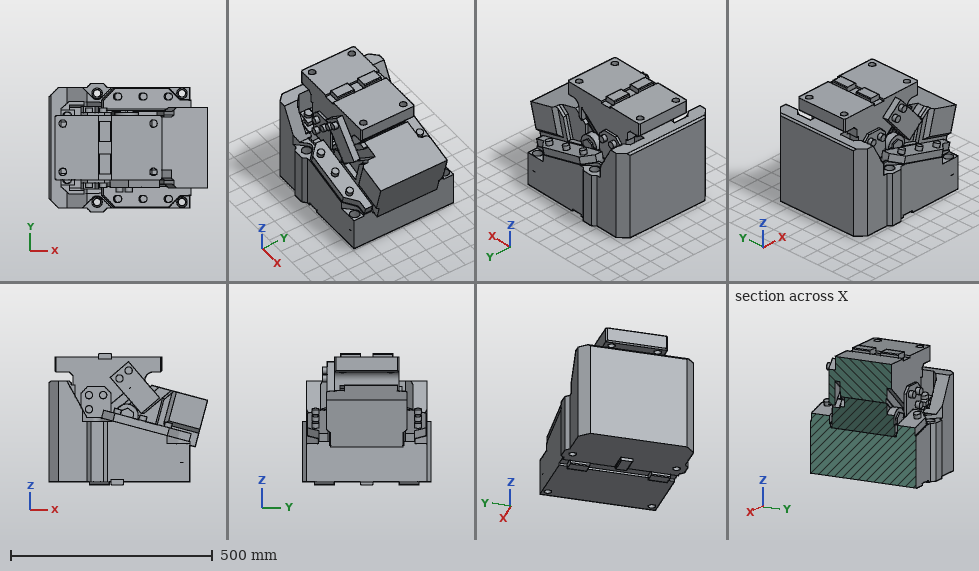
import cadquery as cq
import math

SLIDE_ANGLE = 15.0
WEDGE_ANGLE = 40.0

OVERALL_LENGTH = 394.5
BASE_LENGTH = 350.0
BASE_HALF_WIDTH = 150.0
BASE_HEIGHT = 250.0
BASE_CORNER = 24.5
BASE_TOP_CHAMFER = 5.0
WALL_TOP_END = 45.0
SHELF_START = 94.5
SHELF_HEIGHT = 159.8
SLIDE_X = 131.0
SLIDE_Z = 158.2

EAR_WIDTH = 320.0
EAR_HEIGHT = 150.0
EAR_ROOT = (94.5, 145.0)
EAR_TIP = (104.5, 135.5)
REAR_BOLT_X = 120.0
FRONT_BOLT_X = 330.5
FRONT_SEAT_HEIGHT = 94.5
BASE_BOLT_Y = 135.0
BASE_BOLT_DIAMETER = 18.0
BOLT_BORE_DIAMETER = 26.0
BOLT_BORE_DEPTH = 47.5
SEAT_RADIUS = 15.5

CHANNEL_DEPTH = 9.0
CHANNEL_HALF_WIDTH = 92.5
CHANNEL_HEAD_HALF = 100.0
NOTCH_BACK = 30.0
NOTCH_END = 87.5
NOTCH_FLARE_END = 51.0
NOTCH_BACK_HALF = 96.3
NOTCH_HALF = 115.2
NOTCH_BEVEL = 6.5
CHANNEL_START = 51.3
PIT_MOUTH = (80.0, 124.3)
PIT_BED = (86.0, 114.5)
PIT_FLOOR = 134.0
PIT_HALF_WIDTH = 102.0
PIT_BEVEL = 11.0
GUIDE_HALF_WIDTH = 51.3
GUIDE_BLOCK_END = 56.0
GUIDE_FACE = 65.0
GUIDE_TOP = 240.3
PAD_END = 64.5
PAD_OUTER = 93.0
PAD_INNER = 64.5
PAD_LEVEL = 1.5
PAD_BOLT = (43.8, 79.0)
PAD_BOLT_DIAMETER = 19.7
PAD_BOLT_HEIGHT = 10.3

PLATE_THICKNESS = 20.0
PLATE_INNER = 96.0
PLATE_OUTER = 147.0
PLATE_LENGTH = 225.0
PLATE_CORNER = 29.0
PLATE_NOTCH_CORNER = 198.0
PLATE_NOTCH_ROUND = 9.5
PLATE_NOTCH_Y = 118.0
PLATE_BOLT_FIRST = 34.5
PLATE_BOLT_PITCH = 65.0
PLATE_BOLT_Y = 127.0
PLATE_BOLT_COUNT = 3

BOLT_HEAD_DIAMETER = 18.0
BOLT_HEAD_HEIGHT = 12.0

FOOT_KEY_DROP = 8.3
TOP_KEY_RISE = 8.5
KEY_CHAMFER = 2.5
KEY_LENGTH = 49.7
KEY_SLOT = 5.5
FOOT_KEY_WIDTH = 31.5
FOOT_KEY_X = 170.0
FOOT_KEY_Y = 105.0
CROSS_KEY_X = 125.5
TOP_KEY_WIDTH = 32.7
TOP_KEY_X = 139.5
TOP_KEY_Y = 40.2

DRIVER_HALF_WIDTH = 80.0
DRIVER_TOP = 310.0
FLANGE_BOTTOM = 272.2
FLANGE_ENDS = (15.0, 281.0)
FLANGE_CHAMFER = 3.5
NECK_BACK = 59.5
NECK_CHAMFER = 9.0
NECK_FRONT = 238.5
NECK_ARC_START = 259.5
DRIVER_BOTTOM = 171.5
DRIVER_WEDGE = (154.5, 193.5)
WEDGE_END = 229.0
WEAR_PLATE_HALF_WIDTHS = (67.0, 65.0)
WEAR_PLATE_DEPTH = 20.0
FLANGE_HOLES_X = (34.7, 260.0)
FLANGE_HOLE_Y = 60.0
FLANGE_HOLE_DIAMETER = 18.5

CHEEK_ENDS = (80.0, 154.5)
CHEEK_BOTTOM = 154.0
CHEEK_TOP = 236.0
CHEEK_CORNER = 16.0
CHEEK_THICKNESS = 7.0
CHEEK_BOLTS = [(100.0, 215.0), (135.0, 215.0), (100.0, 180.0)]

RETURN_TIP = (229.5, 169.3)
RETURN_TILT = 40.7
RETURN_WIDTH = 60.0
RETURN_LENGTH = 118.5
RETURN_THICKNESS = 18.0
RETURN_BOLT_INSET = 15.8
RETURN_BOLT_PITCH = 30.0
RETURN_BOLT_DROP = 17.0
HOOK_END = 270.5
HOOK_OUTER = -66.5
HOOK_GAP = 25.5

SLIDER_BACK = 29.5
SLIDER_TOP = 111.0
SLIDER_CORNER = (255.5, 239.5)
SLIDER_CORE_HALF = 75.7
SLIDER_WAIST_HALF = 90.0
SLIDER_HEAD_HALF = 100.2
RAIL_TOP = 19.0
HEAD_UNDERSIDE = 26.0
SHOULDER_START = 133.5
SHOULDER_CHAMFER = 4.5
HEAD_START = 152.5
RETURN_FACE = (236.0, 169.3)
RETURN_NOTCH_Y = -55.0
SHOULDER_DROP = 5.5
BOSS_CENTER = (193.5, 164.0)
BOSS_DIAMETER = 57.5
BOSS_ROOT = 67.0
BOSS_RECESS_END = 218.5
BOSS_FACE = 87.5
HEX_FACE = 92.5
HEX_DIAMETER = 38.0
HEX_TURN = 38.0

FAR = 236.7

SIN, COS = math.sin(math.radians(SLIDE_ANGLE)), math.cos(math.radians(SLIDE_ANGLE))
WEDGE_SLOPE = math.tan(math.radians(WEDGE_ANGLE))
WEDGE_RISE = 1 / math.cos(math.radians(WEDGE_ANGLE))
EAR_HALF_WIDTH = EAR_WIDTH / 2
HEAD_CHAMFER = SLIDER_HEAD_HALF - SLIDER_WAIST_HALF
SLIDER_END = (OVERALL_LENGTH - SLIDE_X - SLIDER_TOP * SIN) / COS
SIDES = (-1, 1)


def along_y(points, y_min, y_max):
    """Prism with an XZ outline, filling y_min to y_max."""
    return cq.Workplane("XZ", origin=(0, y_max, 0)).polyline(points).close().extrude(y_max - y_min)


def box(x_range, y_range, z_range):
    """Box given by its three coordinate ranges."""
    size = [high - low for low, high in (x_range, y_range, z_range)]
    return cq.Workplane("XY").box(*size, centered=False).translate((x_range[0], y_range[0], z_range[0]))


def slide_plane(level=0.0):
    """Plane parallel to the slide way: local x runs downhill, local y is global Y."""
    origin = (SLIDE_X + level * SIN, 0, SLIDE_Z + level * COS)
    return cq.Workplane(cq.Plane(origin=origin, xDir=(COS, 0, -SIN), normal=(SIN, 0, COS)))


def slide_section(points, start, end):
    """Prism along the slide way with a section of (y, height above the way) points."""
    origin = (SLIDE_X + start * COS, 0, SLIDE_Z - start * SIN)
    plane = cq.Plane(origin=origin, xDir=(0, 1, 0), normal=(COS, 0, -SIN))
    return cq.Workplane(plane).polyline(points).close().extrude(end - start)


def slide_height(x, level=0.0):
    """Z of the plane lying the given distance above the slide way."""
    return SLIDE_Z - (x - SLIDE_X) * SIN / COS + level / COS


def wedge_height(point, x):
    """Z at x of the wedge face through an XZ point."""
    return point[1] + (x - point[0]) * WEDGE_SLOPE


def wedge_x(point, z):
    """X at height z of the wedge face through an XZ point."""
    return point[0] + (z - point[1]) / WEDGE_SLOPE


def side_cylinder(center, diameter, y_from, y_to):
    """Cylinder along Y at an XZ center."""
    low, high = sorted((y_from, y_to))
    return cq.Workplane("XZ", origin=(0, high, 0)).center(*center).circle(diameter / 2).extrude(high - low)


def slab(half_width, y_side=0):
    """Y range of a symmetric slab, or the band outside it on one side."""
    if y_side == 0:
        return -half_width, half_width
    return tuple(sorted((y_side * half_width, y_side * FAR)))


def base_block():
    profile = [
        (0, 0), (BASE_LENGTH, 0), (BASE_LENGTH, slide_height(BASE_LENGTH)),
        (SLIDE_X - (SHELF_HEIGHT - SLIDE_Z) * COS / SIN, SHELF_HEIGHT), (SHELF_START, SHELF_HEIGHT),
        (WALL_TOP_END, BASE_HEIGHT), (0, BASE_HEIGHT),
    ]
    block = along_y(profile, -BASE_HALF_WIDTH, BASE_HALF_WIDTH)
    block = block.edges("|Z and <X").chamfer(BASE_CORNER)
    block = block.faces("<X").edges(">Z").chamfer(BASE_TOP_CHAMFER)
    ear = [
        (EAR_ROOT[0], 0), (EAR_ROOT[0], BASE_HALF_WIDTH), (EAR_TIP[0], EAR_HALF_WIDTH),
        (EAR_TIP[1], EAR_HALF_WIDTH), (EAR_ROOT[1], BASE_HALF_WIDTH), (EAR_ROOT[1], 0),
    ]
    outer_ear = cq.Workplane("XY").polyline(ear).close().extrude(EAR_HEIGHT)
    return block.union(outer_ear).union(outer_ear.mirror("XZ"))


def bolt_seat(bolt_x, seat_height, open_forward):
    """Clearance above a base bolt: a 45 degree wedge rounded around the bolt axis."""
    reach = EAR_HALF_WIDTH - BASE_BOLT_Y
    tangent = SEAT_RADIUS / math.sqrt(2)
    spread = SEAT_RADIUS * math.sqrt(2) + reach
    seat = cq.Workplane("XY", origin=(bolt_x, BASE_BOLT_Y, seat_height)).moveTo(-spread, reach)
    seat = seat.lineTo(-tangent, -tangent)
    if open_forward:
        arc_half_angle = math.radians(45) / 2
        middle = (-SEAT_RADIUS * math.sin(arc_half_angle), -SEAT_RADIUS * math.cos(arc_half_angle))
        seat = seat.threePointArc(middle, (0, -SEAT_RADIUS)).lineTo(FAR, -SEAT_RADIUS).lineTo(FAR, reach)
    else:
        seat = seat.threePointArc((0, -SEAT_RADIUS), (tangent, -tangent)).lineTo(spread, reach)
    return seat.close().extrude(FAR)


def cut_base_bolts(base):
    seats = [(REAR_BOLT_X, EAR_HEIGHT, False), (FRONT_BOLT_X, FRONT_SEAT_HEIGHT, True)]
    for bolt_x, height, is_front in seats:
        seat = bolt_seat(bolt_x, height, is_front)
        base = base.cut(seat).cut(seat.mirror("XZ"))
        bores = cq.Workplane("XY", origin=(bolt_x, 0, height)).pushPoints(
            [(0, BASE_BOLT_Y), (0, -BASE_BOLT_Y)])
        base = base.cut(bores.circle(BASE_BOLT_DIAMETER / 2).extrude(-FAR))
        base = base.cut(bores.circle(BOLT_BORE_DIAMETER / 2).extrude(-BOLT_BORE_DEPTH))
    return base


def channel_prism(half_width):
    """Everything above the channel floor within a half width."""
    section = [
        (-half_width, -CHANNEL_DEPTH), (half_width, -CHANNEL_DEPTH), (half_width, FAR), (-half_width, FAR),
    ]
    return slide_section(section, -FAR, FAR * 2)


def cut_slide_way(base):
    """Sunk channel of the slider and the flared notch behind it."""
    plan = [
        (NOTCH_BACK, -NOTCH_BACK_HALF), (NOTCH_FLARE_END, -NOTCH_HALF), (NOTCH_END, -NOTCH_HALF),
        (NOTCH_END, NOTCH_HALF), (NOTCH_FLARE_END, NOTCH_HALF), (NOTCH_BACK, NOTCH_BACK_HALF),
    ]
    notch = cq.Workplane("XY").polyline(plan).close().extrude(FAR * 2)
    above_way = [(0, slide_height(0)), (FAR, slide_height(FAR)), (FAR, FAR * 2), (0, FAR * 2)]
    upper_notch = notch.intersect(along_y(above_way, -FAR, FAR))
    bevel_section = [
        (-CHANNEL_HEAD_HALF, -CHANNEL_DEPTH), (CHANNEL_HEAD_HALF, -CHANNEL_DEPTH),
        (CHANNEL_HEAD_HALF + NOTCH_BEVEL, 0), (-CHANNEL_HEAD_HALF - NOTCH_BEVEL, 0),
    ]
    ahead_of_notch = box((CHANNEL_START, FAR * 2), slab(FAR), (0, FAR * 2))
    head_range = (CHANNEL_START, SLIDE_X)
    channel = channel_prism(CHANNEL_HALF_WIDTH).intersect(ahead_of_notch)
    channel_head = channel_prism(CHANNEL_HEAD_HALF).intersect(box(head_range, slab(FAR), (0, FAR * 2)))
    channel = channel.union(channel_head)
    bevel = slide_section(bevel_section, -FAR, FAR).intersect(notch).intersect(ahead_of_notch)
    return base.cut(channel).cut(upper_notch).cut(bevel)


def cut_driver_pit(base):
    start, end = PIT_MOUTH
    bed_start, bed_end = PIT_BED
    outline = [
        (bed_start, PIT_FLOOR), (bed_end, PIT_FLOOR), (end, slide_height(end, -CHANNEL_DEPTH)),
        (SLIDE_X, FAR), (start, FAR), (start, slide_height(start, -CHANNEL_DEPTH)),
    ]
    pit = along_y(outline, *slab(PIT_HALF_WIDTH))
    wide = PIT_HALF_WIDTH + PIT_BEVEL
    low = SHELF_HEIGHT - PIT_BEVEL
    section = [(-PIT_HALF_WIDTH, low), (PIT_HALF_WIDTH, low), (wide, SHELF_HEIGHT), (-wide, SHELF_HEIGHT)]
    bevel = cq.Workplane("YZ", origin=(NOTCH_END, 0, 0)).polyline(section).close()
    bevel = bevel.extrude(SLIDE_X - NOTCH_END)
    return base.cut(pit).cut(bevel)


def back_guide():
    """Block with a guide strip on the back wall that the driver slides down."""
    profile = [
        (NOTCH_BACK, PIT_FLOOR), (GUIDE_FACE, PIT_FLOOR), (GUIDE_FACE, GUIDE_TOP),
        (GUIDE_BLOCK_END, GUIDE_TOP),
        (GUIDE_BLOCK_END, BASE_HEIGHT - BASE_TOP_CHAMFER),
        (GUIDE_BLOCK_END - BASE_TOP_CHAMFER, BASE_HEIGHT), (NOTCH_BACK, BASE_HEIGHT),
    ]
    return along_y(profile, *slab(GUIDE_HALF_WIDTH))


def notch_pad():
    """Pad on the +Y side of the notch floor, with its bolt head."""
    profile = [
        (NOTCH_BACK, PIT_FLOOR), (PAD_END, PIT_FLOOR),
        (PAD_END, slide_height(PAD_END, PAD_LEVEL)), (NOTCH_BACK, slide_height(NOTCH_BACK, PAD_LEVEL)),
    ]
    pad = along_y(profile, PAD_INNER, PAD_OUTER)
    head = slide_plane(PAD_LEVEL).center((PAD_BOLT[0] - SLIDE_X) / COS, PAD_BOLT[1])
    return pad.union(head.circle(PAD_BOLT_DIAMETER / 2).extrude(PAD_BOLT_HEIGHT))


def retaining_plate():
    """Plate on the +Y side of the slide way, with its bolt heads."""
    plan = [
        (0, PLATE_INNER), (0, PLATE_OUTER - PLATE_CORNER), (PLATE_CORNER, PLATE_OUTER),
        (PLATE_NOTCH_CORNER - PLATE_OUTER + PLATE_NOTCH_Y, PLATE_OUTER),
        (PLATE_NOTCH_CORNER, PLATE_NOTCH_Y), (PLATE_LENGTH, PLATE_NOTCH_Y), (PLATE_LENGTH, PLATE_INNER),
    ]
    plate = slide_plane().polyline(plan).close().extrude(PLATE_THICKNESS)
    middle = slide_plane(PLATE_THICKNESS / 2).center(PLATE_NOTCH_CORNER, PLATE_NOTCH_Y).val()
    notch_corner = cq.selectors.NearestToPointSelector(middle.toTuple())
    plate = plate.edges(notch_corner).fillet(PLATE_NOTCH_ROUND)
    bolts = [(PLATE_BOLT_FIRST + i * PLATE_BOLT_PITCH, PLATE_BOLT_Y) for i in range(PLATE_BOLT_COUNT)]
    heads = slide_plane(PLATE_THICKNESS).pushPoints(bolts)
    return plate.union(heads.circle(BOLT_HEAD_DIAMETER / 2).extrude(BOLT_HEAD_HEIGHT))


def add_foot_keys(base):
    """One key along X on the mid plane and two along Y set in a cross slot."""
    half = FOOT_KEY_WIDTH / 2
    slot = box((FOOT_KEY_X - half, FOOT_KEY_X + half), slab(FAR), (0, KEY_SLOT))
    base = base.cut(slot)
    key_height = KEY_SLOT + FOOT_KEY_DROP
    for side in SIDES:
        key = cq.Workplane("XY").box(FOOT_KEY_WIDTH, KEY_LENGTH, key_height)
        key = key.edges("|Y and <Z").chamfer(KEY_CHAMFER)
        base = base.union(key.translate((FOOT_KEY_X, side * FOOT_KEY_Y, key_height / 2 - FOOT_KEY_DROP)))
    cross_key = cq.Workplane("XY").box(KEY_LENGTH, FOOT_KEY_WIDTH, key_height)
    cross_key = cross_key.edges("|X and <Z").chamfer(KEY_CHAMFER)
    return base.union(cross_key.translate((CROSS_KEY_X, 0, key_height / 2 - FOOT_KEY_DROP)))


def make_base():
    base = cut_base_bolts(base_block())
    base = cut_slide_way(base)
    pad = notch_pad()
    base = base.union(pad).union(pad.mirror("XZ"))
    base = cut_driver_pit(base)
    base = base.union(back_guide())
    plate = retaining_plate()
    base = base.union(plate).union(plate.mirror("XZ"))
    return add_foot_keys(base)


def driver_block():
    """T-shaped block reaching down to the slider's wedge face."""
    start, end = FLANGE_ENDS
    arc_radius = NECK_ARC_START - NECK_FRONT
    arc_middle = arc_radius * (1 - math.sqrt(0.5))
    block = (
        cq.Workplane("XZ", origin=(0, DRIVER_HALF_WIDTH, 0)).moveTo(start, DRIVER_TOP)
        .lineTo(start, FLANGE_BOTTOM).lineTo(NECK_BACK - NECK_CHAMFER, FLANGE_BOTTOM)
        .lineTo(NECK_BACK, FLANGE_BOTTOM - NECK_CHAMFER).lineTo(NECK_BACK, GUIDE_TOP)
        .lineTo(GUIDE_FACE, GUIDE_TOP).lineTo(GUIDE_FACE, DRIVER_BOTTOM)
        .lineTo(wedge_x(SLIDER_CORNER, DRIVER_BOTTOM), DRIVER_BOTTOM)
        .lineTo(NECK_FRONT, wedge_height(SLIDER_CORNER, NECK_FRONT))
        .lineTo(NECK_FRONT, FLANGE_BOTTOM - arc_radius)
        .threePointArc((NECK_FRONT + arc_middle, FLANGE_BOTTOM - arc_middle), (NECK_ARC_START, FLANGE_BOTTOM))
        .lineTo(end, FLANGE_BOTTOM).lineTo(end, DRIVER_TOP).close().extrude(2 * DRIVER_HALF_WIDTH)
    )
    block = block.edges("|Z").edges("<X or >X").chamfer(FLANGE_CHAMFER)
    return block.faces("<X or >X").edges("<Z").chamfer(FLANGE_CHAMFER)


def below_wedge(offset):
    """XZ outline of everything under the driver's wedge face, lowered by a normal offset."""
    point = (DRIVER_WEDGE[0], DRIVER_WEDGE[1] - offset * WEDGE_RISE)
    return [(0, wedge_height(point, 0)), (WEDGE_END, wedge_height(point, WEDGE_END)), (WEDGE_END, 0), (0, 0)]


def step_wedge(driver):
    """The wedge face steps down to the wear plate, then to its narrower running face."""
    for half_width, offset in zip(WEAR_PLATE_HALF_WIDTHS, (0, WEAR_PLATE_DEPTH)):
        for side in SIDES:
            driver = driver.cut(along_y(below_wedge(offset), *slab(half_width, side)))
    return driver


def add_top_keys(driver):
    half = TOP_KEY_WIDTH / 2
    slot = box((TOP_KEY_X - half, TOP_KEY_X + half), slab(FAR), (DRIVER_TOP - KEY_SLOT, FAR * 2))
    driver = driver.cut(slot)
    key_height = KEY_SLOT + TOP_KEY_RISE
    key_middle = DRIVER_TOP + TOP_KEY_RISE - key_height / 2
    for side in SIDES:
        key = cq.Workplane("XY").box(TOP_KEY_WIDTH, KEY_LENGTH, key_height)
        key = key.edges("|Y and >Z").chamfer(KEY_CHAMFER)
        driver = driver.union(key.translate((TOP_KEY_X, side * TOP_KEY_Y, key_middle)))
    return driver


def cheek(side):
    """Guide cheek with three bolt heads on one flank of the driver."""
    start, end = CHEEK_ENDS
    outline = [
        (start + CHEEK_CORNER, CHEEK_BOTTOM), (end, CHEEK_BOTTOM), (end, CHEEK_TOP - CHEEK_CORNER),
        (end - CHEEK_CORNER, CHEEK_TOP), (start + CHEEK_CORNER, CHEEK_TOP), (start, CHEEK_TOP - CHEEK_CORNER),
        (start, CHEEK_BOTTOM + CHEEK_CORNER),
    ]
    face = DRIVER_HALF_WIDTH + CHEEK_THICKNESS
    body = along_y(outline, *sorted((side * DRIVER_HALF_WIDTH, side * face)))
    for center in CHEEK_BOLTS:
        head = side_cylinder(center, BOLT_HEAD_DIAMETER, side * face, side * (face + BOLT_HEAD_HEIGHT))
        body = body.union(head)
    return body


def return_plate():
    """Tilted plate with two bolt heads on the -Y flank."""
    tilt = math.radians(RETURN_TILT)
    plane = cq.Plane(
        origin=(RETURN_TIP[0], -DRIVER_HALF_WIDTH, RETURN_TIP[1]),
        xDir=(math.cos(tilt), 0, math.sin(tilt)), normal=(0, -1, 0))
    plate = cq.Workplane(plane).rect(RETURN_WIDTH, RETURN_LENGTH, centered=False).extrude(RETURN_THICKNESS)
    bolt_row = RETURN_LENGTH - RETURN_BOLT_DROP
    bolts = [(RETURN_BOLT_INSET, bolt_row), (RETURN_BOLT_INSET + RETURN_BOLT_PITCH, bolt_row)]
    heads = cq.Workplane(plane).workplane(offset=RETURN_THICKNESS).pushPoints(bolts)
    return plate.union(heads.circle(BOLT_HEAD_DIAMETER / 2).extrude(BOLT_HEAD_HEIGHT))


def return_hook():
    """Hook behind the return plate that reaches into the slider's notch."""
    lower = (RETURN_FACE[0], RETURN_FACE[1] + HOOK_GAP * WEDGE_RISE)
    outline = [
        lower, (HOOK_END, wedge_height(lower, HOOK_END)),
        (HOOK_END, slide_height(HOOK_END, SLIDER_TOP)), SLIDER_CORNER,
        (WEDGE_END, wedge_height(SLIDER_CORNER, WEDGE_END)),
    ]
    return along_y(outline, HOOK_OUTER, RETURN_NOTCH_Y)


def make_driver():
    driver = add_top_keys(step_wedge(driver_block()))
    holes = [(x, side * FLANGE_HOLE_Y) for x in FLANGE_HOLES_X for side in SIDES]
    drill = cq.Workplane("XY", origin=(0, 0, DRIVER_TOP)).pushPoints(holes).circle(FLANGE_HOLE_DIAMETER / 2)
    driver = driver.cut(drill.extrude(2 * (FLANGE_BOTTOM - DRIVER_TOP)))
    for side in SIDES:
        driver = driver.union(cheek(side))
    return driver.union(return_plate()).union(return_hook())


def slider_block():
    """Stepped slide section, waisted in plan ahead of the broad head."""
    shoulder = SHOULDER_START + SHOULDER_CHAMFER
    half_section = [
        (SLIDER_WAIST_HALF, -CHANNEL_DEPTH), (SLIDER_WAIST_HALF, HEAD_UNDERSIDE),
        (SLIDER_HEAD_HALF, HEAD_UNDERSIDE + HEAD_CHAMFER),
        (SLIDER_HEAD_HALF, SLIDER_TOP),
    ]
    half_plan = [
        (SLIDER_BACK, SLIDER_CORE_HALF), (SHOULDER_START, SLIDER_CORE_HALF),
        (shoulder, SLIDER_CORE_HALF + SHOULDER_CHAMFER), (shoulder, SLIDER_WAIST_HALF),
        (HEAD_START, SLIDER_WAIST_HALF),
        (HEAD_START + HEAD_CHAMFER, SLIDER_HEAD_HALF), (SLIDER_END, SLIDER_HEAD_HALF),
    ]
    section = half_section + [(-y, level) for y, level in reversed(half_section)]
    plan = half_plan + [(u, -y) for u, y in reversed(half_plan)]
    solid = slide_section(section, SLIDER_BACK, SLIDER_END)
    upper = slide_plane(RAIL_TOP).polyline(plan).close().extrude(FAR)
    length = SLIDER_END - SLIDER_BACK
    lower = slide_plane(RAIL_TOP).center(SLIDER_BACK + length / 2, 0).rect(length, FAR * 2).extrude(-FAR)
    return solid.intersect(upper.union(lower))


def cut_wedge(slider):
    """Wedge face that the driver presses on."""
    corner_x, corner_z = SLIDER_CORNER
    outline = [(0, wedge_height(SLIDER_CORNER, 0)), (corner_x, corner_z), (corner_x, FAR * 2), (0, FAR * 2)]
    return slider.cut(along_y(outline, -FAR, FAR))


def cut_return_face(slider):
    """Notch on the -Y side behind the return plate, then the shoulder faces beside it."""
    tilt = math.radians(RETURN_TILT)
    left = (RETURN_TIP[0] - RETURN_LENGTH * math.sin(tilt), RETURN_TIP[1] + RETURN_LENGTH * math.cos(tilt))
    far_end = (FAR * 2, wedge_height(RETURN_FACE, FAR * 2))
    notch = [RETURN_TIP, RETURN_FACE, far_end, left]
    slider = slider.cut(along_y(notch, -DRIVER_HALF_WIDTH, RETURN_NOTCH_Y))
    return cut_shoulders(slider)


def cut_shoulders(slider):
    """Shoulder faces parallel to the return face, bevelled down from it on both sides."""
    tilt = math.radians(WEDGE_ANGLE)
    plane = cq.Plane(
        origin=(RETURN_FACE[0], 0, RETURN_FACE[1]), xDir=(0, 1, 0),
        normal=(math.cos(tilt), 0, math.sin(tilt)))
    section = [
        (-SLIDER_CORE_HALF, 0), (-SLIDER_CORE_HALF - SHOULDER_DROP, -SHOULDER_DROP), (-FAR, -SHOULDER_DROP),
        (-FAR, FAR), (-SLIDER_CORE_HALF, FAR),
    ]
    cutter = cq.Workplane(plane).polyline(section).close().extrude(FAR)
    return slider.cut(cutter).cut(cutter.mirror("XZ"))


def cut_boss_recess(slider):
    """Recessed flanks above the rails, around the side bosses."""
    above_rail = [
        (0, slide_height(0, RAIL_TOP)), (BOSS_RECESS_END, slide_height(BOSS_RECESS_END, RAIL_TOP)),
        (BOSS_RECESS_END, FAR * 2), (0, FAR * 2),
    ]
    for side in SIDES:
        slider = slider.cut(along_y(above_rail, *slab(BOSS_ROOT, side)))
    return slider


def side_boss(side):
    """Round boss with a hexagon head on one flank."""
    boss = side_cylinder(BOSS_CENTER, BOSS_DIAMETER, side * BOSS_ROOT, side * BOSS_FACE)
    low, high = sorted((side * BOSS_FACE, side * HEX_FACE))
    hexagon = cq.Workplane("XZ", origin=(0, high, 0)).polygon(6, HEX_DIAMETER).extrude(high - low)
    hexagon = hexagon.rotate((0, 0, 0), (0, 1, 0), HEX_TURN)
    return boss.union(hexagon.translate((BOSS_CENTER[0], 0, BOSS_CENTER[1])))


def make_slider():
    slider = cut_boss_recess(cut_return_face(cut_wedge(slider_block())))
    for side in SIDES:
        slider = slider.union(side_boss(side))
    return slider


base = make_base()
driver = make_driver()
slider = make_slider()
result = cq.Compound.makeCompound([base.val(), driver.val(), slider.val()])